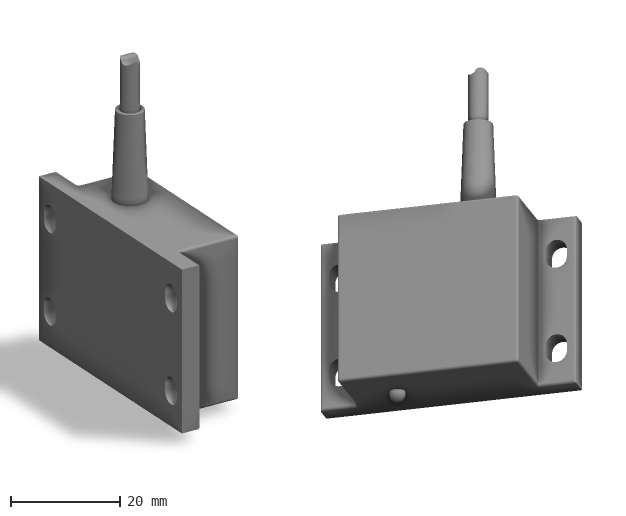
import cadquery as cq

plate_width = 49.0
plate_thickness = 4.0
housing_height = 33.0
housing_depth = 17.0
block_width = 34.7
edge_radius = 0.5

slot_width = 4.0
slot_length = 5.5
slot_spacing_x = 41.5
slot_spacing_z = 18.65

pin_diameter = 3.0
pin_projection = 2.0
pin_x = 8.2
pin_y = 9.0

cable_x = -7.25
cable_y = 8.85
cable_diameter = 3.7
sleeve_base_diameter = 6.8
sleeve_tip_diameter = 5.5
sleeve_bore_diameter = 4.0
sleeve_length = 18.0
overall_height = 63.6
cable_top = overall_height - pin_projection
break_wave = 0.6


def block_with_plate():
    """Hat-shaped profile extruded along Z, with rounded edges around the block."""
    half_plate = plate_width / 2
    half_block = block_width / 2
    body = (
        cq.Workplane("XY")
        .polyline([
            (-half_plate, 0),
            (half_plate, 0),
            (half_plate, plate_thickness),
            (half_block, plate_thickness),
            (half_block, housing_depth),
            (-half_block, housing_depth),
            (-half_block, plate_thickness),
            (-half_plate, plate_thickness),
        ])
        .close()
        .extrude(housing_height)
    )
    inner_width = (plate_width + block_width) / 2
    block_corners = cq.selectors.BoxSelector(
        (-inner_width / 2, plate_thickness / 2, -0.65),
        (inner_width / 2, housing_depth + 0.65, housing_height + 0.65),
    )
    body = body.edges("|Z").edges(block_corners).fillet(edge_radius)
    end_rims = body.faces("<Z or >Z").edges("not(<Y or <X or >X)")
    body = end_rims.fillet(edge_radius)
    rounded_envelope = (
        cq.Workplane("XY")
        .rect(plate_width, 2 * plate_thickness)
        .extrude(housing_height)
        .edges("|Z and >Y")
        .fillet(edge_radius)
        .union(
            cq.Workplane("XY")
            .rect(inner_width, 2 * housing_depth)
            .extrude(housing_height)
        )
    )
    return body.intersect(rounded_envelope)


def mounting_slots():
    """Cutters for the four slots through the plate."""
    return (
        cq.Workplane("XZ", origin=(0, 0, housing_height / 2))
        .rarray(slot_spacing_x, slot_spacing_z, 2, 2)
        .slot2D(slot_length, slot_width, 90)
        .extrude(-plate_thickness)
    )


def domed_pin():
    """Short cylinder hanging from the underside and ending in a hemisphere."""
    radius = pin_diameter / 2
    dome_start = pin_projection - radius
    return (
        cq.Workplane("XZ", origin=(pin_x, pin_y, 0))
        .lineTo(radius, 0)
        .lineTo(radius, -dome_start)
        .radiusArc((0, -pin_projection), radius)
        .close()
        .revolve(360, (0, 0, 0), (0, 1, 0))
    )


def cable_sleeve():
    """Tapered sleeve with a clearance bore, open at the top and ending at the housing."""
    return (
        cq.Workplane("XY", origin=(cable_x, cable_y, housing_height))
        .circle(sleeve_base_diameter / 2)
        .workplane(offset=sleeve_length)
        .circle(sleeve_tip_diameter / 2)
        .loft(ruled=True)
        .faces(">Z")
        .workplane(centerOption="CenterOfMass")
        .hole(sleeve_bore_diameter, sleeve_length)
    )


def make_housing():
    """Block, plate, sleeve and pin as one body."""
    body = block_with_plate().cut(mounting_slots())
    return body.union(domed_pin()).union(cable_sleeve())


def break_outline():
    """Prism whose upper side is a crest followed by a trough, trimming the cable end."""
    radius = cable_diameter / 2
    mid_level = cable_top - break_wave
    return (
        cq.Workplane("XZ", origin=(cable_x, cable_y, 0))
        .moveTo(-radius, housing_height)
        .lineTo(-radius, mid_level)
        .threePointArc((-radius / 2, cable_top), (0, mid_level))
        .threePointArc((radius / 2, mid_level - break_wave), (radius, mid_level))
        .lineTo(radius, housing_height)
        .close()
        .extrude(radius, both=True)
    )


def make_cable():
    """Round cable standing in the sleeve on the housing top, with a wavy broken end."""
    cord = (
        cq.Workplane("XY", origin=(cable_x, cable_y, housing_height))
        .circle(cable_diameter / 2)
        .extrude(cable_top - housing_height)
    )
    return cord.intersect(break_outline())


housing = make_housing()
cable = make_cable()

result = cq.Compound.makeCompound([housing.val(), cable.val()])